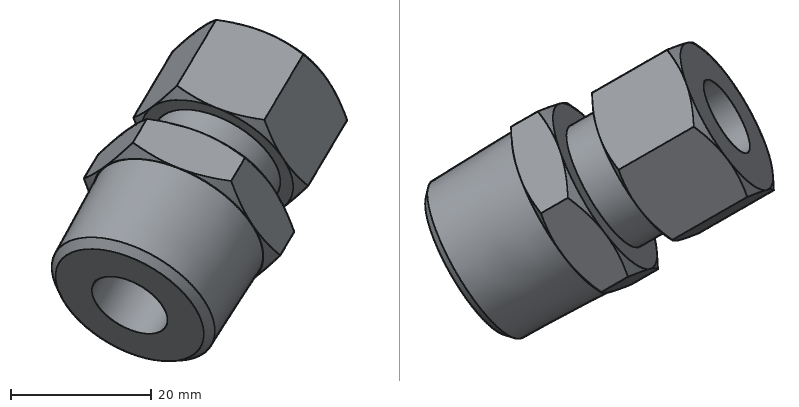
import cadquery as cq
import math

THREAD_END = 16.02
BODY_HEX_END = 23.05
NECK_END = 28.9
TOTAL_LENGTH = 43.9

BODY_FLATS = 27.0
NUT_FLATS = 24.0
NECK_DIAMETER = 19.97
BORE_DIAMETER = 12.0

GAUGE_LENGTH = 9.53
GAUGE_DIAMETER = 26.43
THREAD_TAPER = 1 / 16
THREAD_CHAMFER = 1.2

HEX_CHAMFER_ANGLE = math.radians(30)


def revolve_profile(points):
    """Turn a closed (radius, Y) outline about the Y axis."""
    return cq.Workplane("XY").polyline(points).close().revolve(360, (0, 0, 0), (0, 1, 0))


def cylinder(diameter, start, end):
    radius = diameter / 2
    return revolve_profile([(0, start), (radius, start), (radius, end), (0, end)])


def chamfered_hex(flats, start, end):
    """Hexagon with corners on the X axis, turned to a cone at both ends."""
    corner_diameter = flats / math.cos(math.pi / 6)
    flat_radius = flats / 2
    corner_radius = corner_diameter / 2
    drop = (corner_radius - flat_radius) * math.tan(HEX_CHAMFER_ANGLE)
    prism = (
        cq.Workplane("XZ", origin=(0, start, 0))
        .polygon(6, corner_diameter)
        .extrude(start - end)
    )
    envelope = revolve_profile([
        (0, start),
        (flat_radius, start),
        (corner_radius, start + drop),
        (corner_radius, end - drop),
        (flat_radius, end),
        (0, end),
    ])
    return prism.intersect(envelope)


def thread_radius(y):
    return (GAUGE_DIAMETER + (y - GAUGE_LENGTH) * THREAD_TAPER) / 2


def tapered_thread():
    chamfer_radius = thread_radius(THREAD_CHAMFER)
    return revolve_profile([
        (0, 0),
        (chamfer_radius - THREAD_CHAMFER, 0),
        (chamfer_radius, THREAD_CHAMFER),
        (thread_radius(GAUGE_LENGTH), GAUGE_LENGTH),
        (thread_radius(THREAD_END), THREAD_END),
        (0, THREAD_END),
    ])


thread = tapered_thread()
body_hex = chamfered_hex(BODY_FLATS, THREAD_END, BODY_HEX_END)
neck = cylinder(NECK_DIAMETER, BODY_HEX_END, NECK_END)
nut = chamfered_hex(NUT_FLATS, NECK_END, TOTAL_LENGTH)
bore = cylinder(BORE_DIAMETER, 0, TOTAL_LENGTH)

result = thread.union(body_hex).union(neck).union(nut).cut(bore)